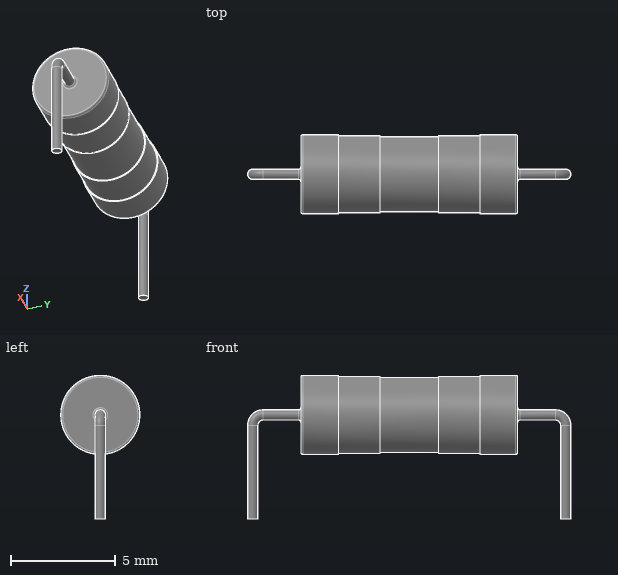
import cadquery as cq

lead_pitch = 15.0
lead_diameter = 0.5
bend_radius = 0.5
lead_drop = 5.0

body_length = 10.4
body_radius = 1.9
end_band_length = 1.8
shoulder_length = 2.0
waist_ratio = 0.95
end_rounding = 0.1
root_fillet = 0.1

waist_radius = waist_ratio * body_radius
shoulder_radius = (body_radius + waist_radius) / 2
half_length = body_length / 2
shoulder_outer_x = half_length - end_band_length
shoulder_inner_x = shoulder_outer_x - shoulder_length


def cylinder_along_x(radius, half_span):
    """Cylinder on the X axis, symmetric about the YZ plane."""
    return cq.Workplane("YZ").circle(radius).extrude(half_span, both=True)


def end_band(side):
    """Full-radius band at one end (side is -1 or 1) with a rounded outer rim."""
    band = (
        cq.Workplane("YZ", origin=(side * shoulder_outer_x, 0, 0))
        .circle(body_radius)
        .extrude(side * end_band_length)
    )
    outer_face = ">X" if side > 0 else "<X"
    return band.faces(outer_face).edges().fillet(end_rounding)


def make_body():
    """Narrow middle, two slightly wider shoulders and two full-radius end bands."""
    shoulders = cylinder_along_x(shoulder_radius, shoulder_outer_x)
    middle_groove = cylinder_along_x(body_radius, shoulder_inner_x).cut(
        cylinder_along_x(waist_radius, shoulder_inner_x)
    )
    return shoulders.cut(middle_groove).union(end_band(-1)).union(end_band(1))


def make_left_lead():
    """Round wire that leaves the left end face along -X and bends down to its tip."""
    lead_x = -lead_pitch / 2
    path = (
        cq.Workplane("XZ")
        .moveTo(-shoulder_outer_x, 0)
        .lineTo(lead_x + bend_radius, 0)
        .radiusArc((lead_x, -bend_radius), -bend_radius)
        .lineTo(lead_x, -lead_drop)
    )
    section = cq.Workplane("YZ", origin=(-shoulder_outer_x, 0, 0)).circle(lead_diameter / 2)
    return section.sweep(path)


def make_left_root():
    """Flared collar with a concave profile between the left end face and its lead."""
    wire_radius = lead_diameter / 2
    profile = (
        cq.Workplane("XY")
        .moveTo(-half_length - root_fillet, 0)
        .lineTo(-half_length - root_fillet, wire_radius)
        .radiusArc((-half_length, wire_radius + root_fillet), -root_fillet)
        .lineTo(-half_length, 0)
        .close()
    )
    return profile.revolve(360, (0, 0, 0), (1, 0, 0))


left_lead = make_left_lead().union(make_left_root())
right_lead = left_lead.mirror("YZ")
result = make_body().union(left_lead).union(right_lead)